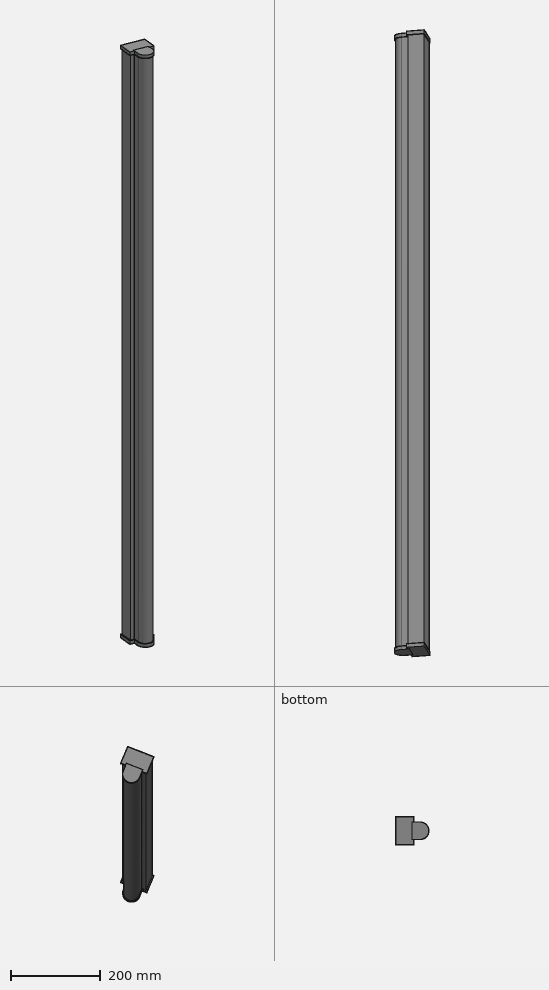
import cadquery as cq

length = 1458.0
overall_depth = 75.0
flange_thickness = 9.0
housing_overhang = 3.0
back_overhang = 1.0

housing_flange_width = 63.0
housing_flange_depth = 41.0

lens_overhang = 2.2
lens_flange_width = 40.0
seat_depth = 5.0

body_length = length - 2 * flange_thickness
housing_width = housing_flange_width - 2 * housing_overhang
housing_depth = housing_flange_depth - back_overhang - housing_overhang
lens_width = lens_flange_width - 2 * lens_overhang

back_x = -overall_depth / 2
seat_x = back_x + housing_flange_depth - seat_depth
arc_centre_x = back_x + overall_depth - lens_flange_width / 2

body_bottom_z = -length / 2 + flange_thickness
flange_bottoms = (-length / 2, length / 2 - flange_thickness)


def block(x_start, depth, width, z_start, height):
    """Box that starts at x_start and is centred on Y."""
    return (
        cq.Workplane("XY")
        .box(depth, width, height, centered=(False, True, False))
        .translate((x_start, 0, z_start))
    )


def lens_bar(width, z_start, height):
    """D-shaped bar with a flat back on the seat and a half-round front."""
    radius = width / 2
    return (
        cq.Workplane("XY", origin=(0, 0, z_start))
        .moveTo(seat_x, -radius)
        .lineTo(arc_centre_x, -radius)
        .threePointArc((arc_centre_x + radius, 0), (arc_centre_x, radius))
        .lineTo(seat_x, radius)
        .close()
        .extrude(height)
    )


def make_lens():
    """Lens bar with a wider flange of the same shape at each end."""
    lens = lens_bar(lens_width, body_bottom_z, body_length)
    for z_start in flange_bottoms:
        flange = lens_bar(lens_flange_width, z_start, flange_thickness)
        lens = lens.union(flange)
    return lens


def make_housing(lens):
    """Rectangular bar with end flanges and a front seat that fits the lens."""
    housing = block(back_x + back_overhang, housing_depth, housing_width, body_bottom_z, body_length)
    for z_start in flange_bottoms:
        flange = block(back_x, housing_flange_depth, housing_flange_width, z_start, flange_thickness)
        housing = housing.union(flange)
    return housing.cut(lens)


lens = make_lens()
housing = make_housing(lens)

result = cq.Compound.makeCompound([housing.val(), lens.val()])